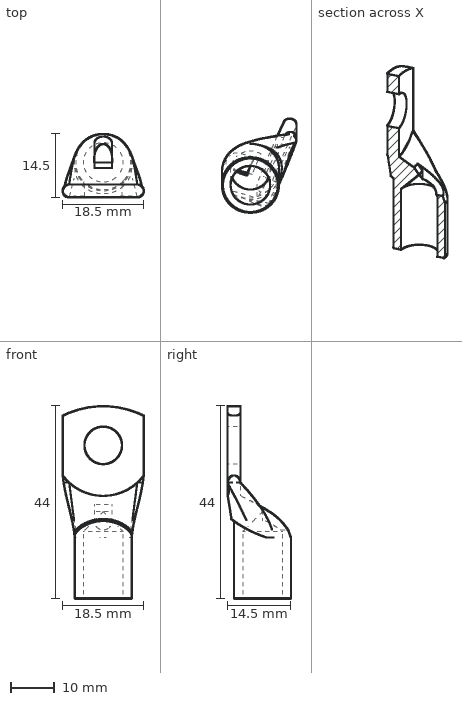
import cadquery as cq
import math

barrel_radius = 6.5
bore_radius = 4.5
bore_tip_start = 15.4
bore_tip_half_angle = 45.0
barrel_end = 14.0
rim_chamfer = 0.25

palm_width = 18.5
palm_thickness = 3.0
palm_front = -8.0
palm_top = 43.96
palm_top_radius = 20.5
stud_hole_radius = 4.25
stud_height = 35.0
palm_base_radius = 11.5

palm_back = palm_front + palm_thickness
palm_mid = palm_front + palm_thickness / 2
palm_flat_half = (palm_width - palm_thickness) / 2
palm_base = stud_height - palm_base_radius
palm_side_base = stud_height - math.sqrt(palm_base_radius ** 2 - (palm_width / 2) ** 2)
palm_corner_base = stud_height - math.sqrt(palm_base_radius ** 2 - palm_flat_half ** 2)

corner_back_start = 2.5
corner_front_start = -2.2
corner_back_power = 1.6
corner_front_power = 1.2
spine_power = 1.85
neck_levels = 4
front_overrun = 0.4
spine_overrun = 1.5
spine_limit = palm_back - spine_overrun

shoulder_start = (1.0, barrel_end)
shoulder_middle = (-3.0, 15.65)
shoulder_end = (-7.8, 18.75)

slot_width = 4.0
slot_bottom = 15.75
slot_floor_height = 20.0
slot_floor_slope = 1.25
slot_top = 23.0

reach = 30.0


def blend(start, end, fraction):
    return start + (end - start) * fraction


def neck_section(height, half_width, front, back, front_corner, back_corner):
    """Closed wire of front, side, back and side arcs at one height."""
    front_x, front_y = front_corner
    back_x, back_y = back_corner
    side_y = (front_y + back_y) / 2
    return (
        cq.Workplane("XY", origin=(0, 0, height))
        .moveTo(-front_x, front_y)
        .threePointArc((0, front), (front_x, front_y))
        .threePointArc((half_width, side_y), (back_x, back_y))
        .threePointArc((0, back), (-back_x, back_y))
        .threePointArc((-half_width, side_y), (-front_x, front_y))
        .close()
        .val()
    )


def neck_section_at(height):
    rise = (height - barrel_end) / (palm_corner_base - barrel_end)
    side_rise = (height - barrel_end) / (palm_side_base - barrel_end)
    spine_rise = (height - barrel_end) / (palm_base - barrel_end)
    flare = (side_rise + (1 - math.cos(math.pi * side_rise)) / 2) / 2
    half_width = blend(barrel_radius, palm_width / 2, flare)
    front = blend(-barrel_radius, palm_front - front_overrun, rise)
    back = max(blend(barrel_radius, palm_back, spine_rise ** spine_power), spine_limit)
    front_start_x = math.sqrt(barrel_radius ** 2 - corner_front_start ** 2)
    back_start_x = math.sqrt(barrel_radius ** 2 - corner_back_start ** 2)
    front_corner = (
        blend(front_start_x, palm_flat_half, rise),
        blend(corner_front_start, palm_front, rise ** corner_front_power),
    )
    back_corner = (
        blend(back_start_x, palm_flat_half, rise),
        blend(corner_back_start, palm_back, rise ** corner_back_power),
    )
    return neck_section(height, half_width, front, back, front_corner, back_corner)


def make_shoulder_zone():
    """Everything below the shoulder surface."""
    return (
        cq.Workplane("YZ", origin=(-reach, 0, 0))
        .moveTo(reach, 0)
        .lineTo(reach, barrel_end)
        .lineTo(*shoulder_start)
        .threePointArc(shoulder_middle, shoulder_end)
        .lineTo(-reach, shoulder_end[1])
        .lineTo(-reach, 0)
        .close()
        .extrude(2 * reach)
    )


def make_barrel():
    tube = cq.Workplane("XY").circle(barrel_radius).extrude(palm_base)
    return tube.faces("<Z").edges().chamfer(rim_chamfer).intersect(make_shoulder_zone())


def make_neck():
    step = (palm_corner_base - barrel_end) / neck_levels
    sections = [neck_section_at(barrel_end + level * step) for level in range(neck_levels + 1)]
    neck = cq.Workplane(cq.Solid.makeLoft(sections))
    in_front_of_palm = cq.Workplane("XY").box(
        2 * reach, reach, 2 * reach, centered=(True, False, True)
    ).translate((0, palm_front - reach, 0))
    return neck.cut(in_front_of_palm).cut(make_shoulder_zone())


def make_neck_ears():
    """Rounded sides that carry the neck up to the full palm width, outside the palm base arc."""
    full_section = neck_section(
        palm_side_base,
        palm_width / 2,
        palm_front - front_overrun,
        spine_limit,
        (palm_flat_half, palm_front),
        (palm_flat_half, palm_back),
    )
    ears = cq.Workplane(cq.Solid.makeLoft([neck_section_at(palm_corner_base), full_section], True))
    palm_base_disc = (
        cq.Workplane("XZ", origin=(0, 0, stud_height)).circle(palm_base_radius).extrude(reach)
    )
    return ears.cut(palm_base_disc)


def make_palm():
    blank = (
        cq.Workplane("XY", origin=(0, palm_mid, palm_base))
        .slot2D(palm_width, palm_thickness)
        .extrude(palm_top - palm_base)
    )
    half = palm_width / 2
    side_top = palm_top - palm_top_radius + math.sqrt(palm_top_radius ** 2 - half ** 2)
    outline = (
        cq.Workplane("XZ")
        .moveTo(-half, palm_side_base)
        .threePointArc((0, palm_base), (half, palm_side_base))
        .lineTo(half, side_top)
        .threePointArc((0, palm_top), (-half, side_top))
        .close()
        .extrude(reach)
    )
    return blank.intersect(outline)


def make_bore():
    tip = bore_tip_start + bore_radius / math.tan(math.radians(bore_tip_half_angle))
    return (
        cq.Workplane("XZ")
        .polyline([(0, 0), (bore_radius, 0), (bore_radius, bore_tip_start), (0, tip)])
        .close()
        .revolve(360, (0, 0, 0), (0, 1, 0))
    )


def make_slot():
    half = slot_width / 2
    window = (
        cq.Workplane("XZ")
        .moveTo(-half, slot_top)
        .lineTo(-half, slot_bottom + half)
        .threePointArc((0, slot_bottom), (half, slot_bottom + half))
        .lineTo(half, slot_top)
        .close()
        .extrude(-2 * barrel_radius)
    )
    floor_run = (slot_top - slot_floor_height) / slot_floor_slope
    sloping_floor = (
        cq.Workplane("YZ", origin=(-half, 0, 0))
        .polyline([(0, slot_floor_height), (0, slot_top), (-floor_run, slot_top)])
        .close()
        .extrude(slot_width)
    )
    return window.union(sloping_floor)


def make_stud_hole():
    return cq.Workplane("XZ", origin=(0, 0, stud_height)).circle(stud_hole_radius).extrude(reach)


body = make_barrel().union(make_neck()).union(make_neck_ears()).union(make_palm())
result = body.cut(make_bore()).cut(make_slot()).cut(make_stud_hole())